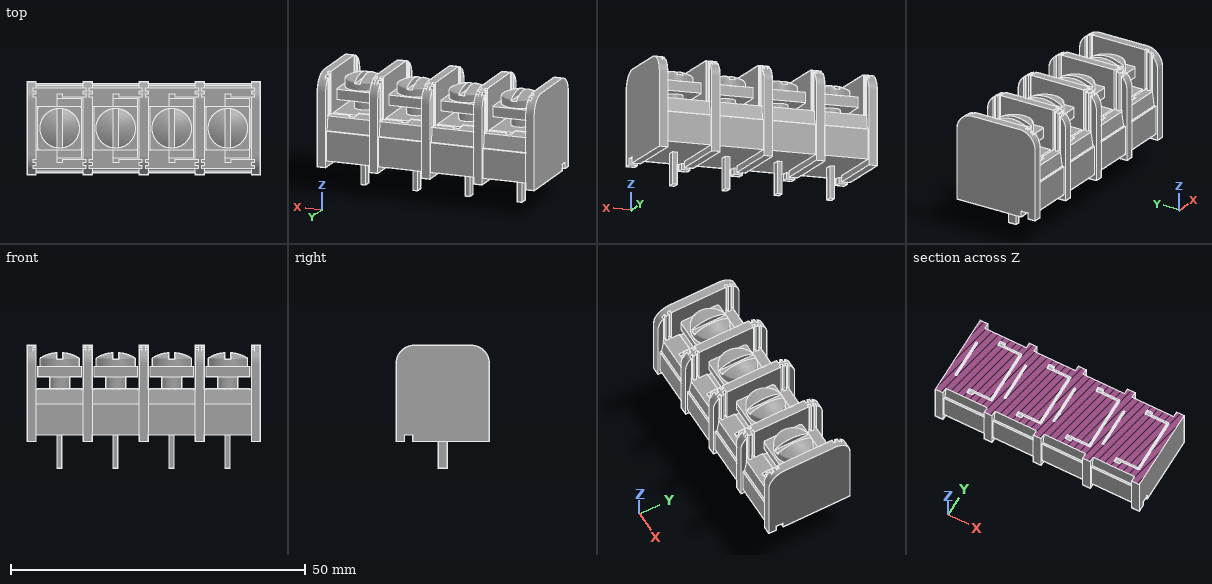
import cadquery as cq
import math


way_count = 4
pitch = 9.525
wall_thickness = 1.55
wall_span = way_count * pitch

wall_depth = 15.88
wall_height = 16.4
wall_corner_radius = 3.15
groove_width = 0.5
groove_depth = 0.52
groove_spacing = 1.03
drain_width = 1.35
drain_center_y = -5.8

body_bottom = 1.1
ledge_height = 6.37
body_top = 8.9
body_depth = 15.18
ledge_width = 0.34
body_top_depth = 13.7

contact_top = 9.0
contact_depth = 10.1
contact_edge_x = 3.72
pocket_left_x = -0.48
pocket_clearance = 0.25
pocket_floor = 8.1
relief_length = 1.0
relief_depth = 11.6
pin_length = 4.55
pin_thickness = 0.86
pin_width = 1.55

washer_size = 7.46
washer_corner_radius = 0.4
washer_bottom = 11.0
washer_top = 12.8
shank_diameter = 3.43
head_diameter = 6.72
head_rim_top = 14.0
head_edge_radius = 0.35
head_top = 15.17
slot_width = 0.99


def block(x_min, x_max, depth, z_min, z_max, center_y=0):
    """Box given by its X and Z limits and its depth about center_y."""
    size_x = x_max - x_min
    size_z = z_max - z_min
    box = cq.Workplane("XY").box(size_x, depth, size_z, centered=(False, True, False))
    return box.translate((x_min, center_y, z_min))


def make_body():
    """Full-length core: upright lower sides, a small ledge and sloping upper sides."""
    right_side = [
        (body_depth / 2, body_bottom),
        (body_depth / 2, ledge_height),
        (body_depth / 2 - ledge_width, ledge_height),
        (body_top_depth / 2, body_top),
    ]
    left_side = [(-y, z) for y, z in reversed(right_side)]
    profile = cq.Workplane("YZ").polyline(right_side + left_side).close()
    return profile.extrude(wall_span / 2, both=True)


def make_wall(center_x, groove_sides):
    """Barrier wall with rounded top corners and upright grooves on the given sides."""
    left = center_x - wall_thickness / 2
    right = center_x + wall_thickness / 2
    wall = block(left, right, wall_depth, 0, wall_height)
    wall = wall.edges("|X and >Z").fillet(wall_corner_radius)

    outer_groove_y = (body_top_depth - groove_width) / 2
    inner_groove_y = outer_groove_y - groove_spacing
    for side in groove_sides:
        groove_x = center_x + side * (wall_thickness - groove_depth) / 2
        groove_left = groove_x - groove_depth / 2
        groove_right = groove_x + groove_depth / 2
        for y in (-outer_groove_y, -inner_groove_y, inner_groove_y, outer_groove_y):
            wall = wall.cut(block(groove_left, groove_right, groove_width, body_top, wall_height, y))

    return wall.cut(block(left, right, drain_width, 0, body_bottom, drain_center_y))


def make_pocket():
    """Wall-to-wall recess for the contact, with a relief at each corner of its wide part."""
    wall_face_x = (pitch - wall_thickness) / 2
    pocket_depth = contact_depth + 2 * pocket_clearance
    recess = block(pocket_left_x, wall_face_x, pocket_depth, pocket_floor, body_top)
    relief = block(pocket_left_x, pocket_left_x + relief_length, relief_depth, pocket_floor, body_top)
    tongue_recess = block(-wall_face_x, pocket_left_x, washer_size, pocket_floor, body_top)
    return recess.union(relief).union(tongue_recess)


def make_contact():
    """Contact plate with a narrower tongue towards -X, and the solder pin below it."""
    plate = block(pocket_left_x, contact_edge_x, contact_depth, pocket_floor, contact_top)
    tongue = block(-washer_size / 2, pocket_left_x, washer_size, pocket_floor, contact_top)
    pin = block(pocket_left_x, pocket_left_x + pin_thickness, pin_width, -pin_length, pocket_floor)
    return plate.union(tongue).union(pin)


def make_screw():
    """Slotted domed screw with its square clamp washer, standing on the contact plate."""
    shank_radius = shank_diameter / 2
    head_radius = head_diameter / 2
    edge_center_r = head_radius - head_edge_radius
    dome_rise = head_top - head_rim_top
    sphere_radius = (edge_center_r**2 + dome_rise**2 - head_edge_radius**2) / (
        2 * (dome_rise - head_edge_radius)
    )
    sphere_center_z = head_top - sphere_radius
    edge_angle = math.acos(edge_center_r / (sphere_radius - head_edge_radius))

    def edge_point(angle):
        r = edge_center_r + head_edge_radius * math.cos(angle)
        z = head_rim_top + head_edge_radius * math.sin(angle)
        return (r, z)

    def dome_point(angle):
        r = sphere_radius * math.cos(angle)
        z = sphere_center_z + sphere_radius * math.sin(angle)
        return (r, z)

    dome_mid_angle = (edge_angle + math.pi / 2) / 2
    screw = (
        cq.Workplane("XZ")
        .moveTo(0, pocket_floor)
        .lineTo(shank_radius, pocket_floor)
        .lineTo(shank_radius, washer_top)
        .lineTo(head_radius, washer_top)
        .lineTo(head_radius, head_rim_top)
        .threePointArc(edge_point(edge_angle / 2), edge_point(edge_angle))
        .threePointArc(dome_point(dome_mid_angle), (0, head_top))
        .close()
        .revolve(360, (0, 0, 0), (0, 1, 0))
    )
    screw = screw.cut(block(-slot_width / 2, slot_width / 2, head_diameter, head_rim_top, head_top))

    washer = block(-washer_size / 2, washer_size / 2, washer_size, washer_bottom, washer_top)
    washer = washer.edges("|Z").fillet(washer_corner_radius)
    return screw.union(washer)


def make_terminal_block():
    """Join the core, the barrier walls and one contact and screw per way."""
    part = make_body()
    first_wall_x = -wall_span / 2

    for index in range(way_count + 1):
        groove_sides = []
        if index > 0:
            groove_sides.append(-1)
        if index < way_count:
            groove_sides.append(1)
        part = part.union(make_wall(first_wall_x + index * pitch, groove_sides))

    pocket = make_pocket()
    fittings = make_contact().union(make_screw())
    for index in range(way_count):
        way_position = (first_wall_x + (index + 0.5) * pitch, 0, 0)
        part = part.cut(pocket.translate(way_position))
        part = part.union(fittings.translate(way_position))
    return part


result = make_terminal_block()